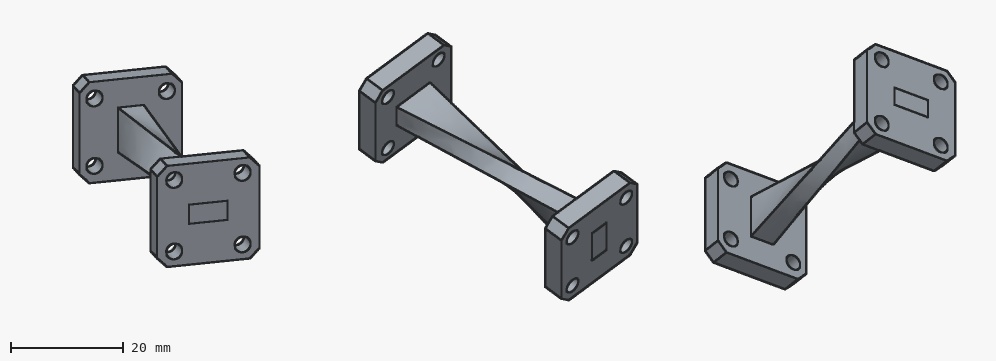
import cadquery as cq

length = 50.8
half_length = length / 2
flange_side = 19.05
flange_thickness = 4.05
corner_chamfer = 1.85
hole_diameter = 2.95
hole_spacing_wide = 13.45
hole_spacing_narrow = 12.7
bore_long = 7.15
bore_short = 3.6
wall = 0.6
tube_long = bore_long + 2 * wall
tube_short = bore_short + 2 * wall
twist_half_length = half_length - flange_thickness


def twisted_bar(long_side, short_side):
    """Solid rectangle turning from upright at -X to flat at +X, with straight corner edges."""
    a = short_side / 2
    b = long_side / 2
    start_corners = [(-a, -b), (a, -b), (a, b), (-a, b)]
    end_corners = [(-b, a), (-b, -a), (b, -a), (b, a)]
    start = [cq.Vector(-twist_half_length, y, z) for y, z in start_corners]
    end = [cq.Vector(twist_half_length, y, z) for y, z in end_corners]
    faces = [
        cq.Face.makeFromWires(cq.Wire.makePolygon(corners, close=True))
        for corners in (start, end)
    ]
    for i in range(4):
        following = (i + 1) % 4
        start_edge = cq.Edge.makeLine(start[i], start[following])
        end_edge = cq.Edge.makeLine(end[i], end[following])
        faces.append(cq.Face.makeRuledSurface(start_edge, end_edge))
    solid = cq.Solid.makeSolid(cq.Shell.makeShell(faces))
    return cq.Workplane(solid.fix())


def flange(x_start, hole_spacing_y, hole_spacing_z):
    """Square plate with chamfered corners and four through holes."""
    return (
        cq.Workplane("YZ", origin=(x_start, 0, 0))
        .rect(flange_side, flange_side)
        .extrude(flange_thickness)
        .edges("|X")
        .chamfer(corner_chamfer)
        .faces(">X")
        .workplane(centerOption="CenterOfBoundBox")
        .rect(hole_spacing_y, hole_spacing_z, forConstruction=True)
        .vertices()
        .hole(hole_diameter)
    )


def straight_core(x_start, width_y, height_z):
    """Straight part of the core inside one flange."""
    return (
        cq.Workplane("YZ", origin=(x_start, 0, 0))
        .rect(width_y, height_z)
        .extrude(flange_thickness)
    )


def make_core():
    """Core filling the waveguide passage, flush with both flange faces."""
    return (
        twisted_bar(bore_long, bore_short)
        .union(straight_core(-half_length, bore_short, bore_long))
        .union(straight_core(twist_half_length, bore_long, bore_short))
    )


def make_housing(core):
    """Two flanges, a quarter turn apart, joined by the twisted tube around the core."""
    return (
        twisted_bar(tube_long, tube_short)
        .union(flange(-half_length, hole_spacing_wide, hole_spacing_narrow))
        .union(flange(twist_half_length, hole_spacing_narrow, hole_spacing_wide))
        .cut(core)
    )


core = make_core()
housing = make_housing(core)

result = cq.Compound.makeCompound([housing.solids().val(), core.solids().val()])